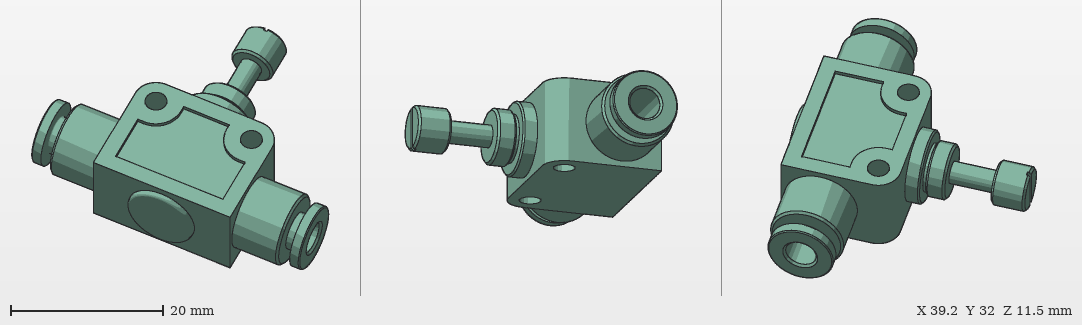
import cadquery as cq


block_length = 20.0
block_height = 11.5
block_front = -5.5
block_back = 10.0
corner_radius = 3.0

hole_diameter = 2.85
hole_x = block_length / 2 - corner_radius
hole_y = block_back - corner_radius

recess_half_length = 7.85
recess_front = -3.3
recess_back = 7.8
recess_depth = 0.5
hole_pad_radius = 3.65

overall_length = 39.2
port_diameter = 10.0
port_radius = port_diameter / 2
port_end = 16.7
port_chamfer = 0.3
neck_radius = 2.6
neck_fillet = 0.2
flange_radius = 4.45
flange_thickness = 1.4
flange_chamfer = 0.15
bore_radius = 2.08
bore_chamfer = 0.3

cap_radius = 4.8
cap_height = 0.75
cap_fillet = 0.5

base_radius = port_radius
base_top = 11.95
base_chamfer = 0.25
groove_radius = 3.3
nut_radius = 3.75
nut_bottom = 12.4
nut_top = 15.0
nut_chamfer = 0.3
stem_diameter = 3.0
stem_radius = stem_diameter / 2
knob_radius = 3.0
knob_bottom = 21.13
knob_top = 25.75
knob_chamfer = 0.3
slot_width = 0.5
slot_depth = 0.5


def disc_along_y(radius, start, end):
    """Cylinder on the adjuster axis between two Y stations."""
    return cq.Workplane("XZ", origin=(0, start, 0)).circle(radius).extrude(start - end)


def make_block():
    """Block with two rounded back corners."""
    return (
        cq.Workplane("XY")
        .box(block_length, block_back - block_front, block_height)
        .translate((0, (block_front + block_back) / 2, 0))
        .edges("|Z and >Y")
        .fillet(corner_radius)
    )


def make_label_recess():
    """Shallow rectangular recess that leaves a round pad around each mounting hole."""
    top = block_height / 2
    floor = top - recess_depth
    recess = (
        cq.Workplane("XY", origin=(0, 0, floor))
        .moveTo(0, (recess_front + recess_back) / 2)
        .rect(2 * recess_half_length, recess_back - recess_front)
        .extrude(recess_depth)
    )
    pad_reach_x = hole_x - hole_pad_radius
    pad_reach_y = hole_y - hole_pad_radius
    for side in (-1, 1):
        pad = (
            cq.Workplane("XY", origin=(0, 0, floor))
            .moveTo(side * pad_reach_x, hole_y)
            .radiusArc((side * hole_x, pad_reach_y), -side * hole_pad_radius)
            .lineTo(side * block_length / 2, pad_reach_y)
            .lineTo(side * block_length / 2, block_back)
            .lineTo(side * pad_reach_x, block_back)
            .close()
            .extrude(recess_depth)
        )
        recess = recess.cut(pad)
    return recess


def make_port():
    """Stepped tube port and collar on the +X side, with a blind bore ending at the block face."""
    end = overall_length / 2
    face = block_length / 2
    flange_inner = end - flange_thickness
    return (
        cq.Workplane("XY")
        .moveTo(face, bore_radius)
        .lineTo(face, port_radius)
        .lineTo(port_end - port_chamfer, port_radius)
        .lineTo(port_end, port_radius - port_chamfer)
        .lineTo(port_end, neck_radius)
        .lineTo(flange_inner - neck_fillet, neck_radius)
        .radiusArc((flange_inner, neck_radius + neck_fillet), -neck_fillet)
        .lineTo(flange_inner, flange_radius)
        .lineTo(end - flange_chamfer, flange_radius)
        .lineTo(end, flange_radius - flange_chamfer)
        .lineTo(end, bore_radius + bore_chamfer)
        .lineTo(end - bore_chamfer, bore_radius)
        .close()
        .revolve(360, (0, 0, 0), (1, 0, 0))
    )


def make_cap():
    """Low disc with a rounded rim on the front face."""
    return disc_along_y(cap_radius, block_front, block_front - cap_height).faces("<Y").fillet(cap_fillet)


def make_housing():
    """Block with label recess, mounting holes, two opposite ports and the front cap."""
    body = make_block().cut(make_label_recess())
    holes = (
        cq.Workplane("XY", origin=(0, 0, -block_height / 2))
        .pushPoints([(-hole_x, hole_y), (hole_x, hole_y)])
        .circle(hole_diameter / 2)
        .extrude(block_height)
    )
    body = body.cut(holes)
    port = make_port()
    return body.union(port).union(port.mirror("YZ")).union(make_cap())


def make_adjuster():
    """Base collar, groove, lock ring, stem and slotted knob, seated on the back face of the housing."""
    base = disc_along_y(base_radius, block_back, base_top).faces(">Y").chamfer(base_chamfer)
    groove = disc_along_y(groove_radius, base_top, nut_bottom)
    nut = disc_along_y(nut_radius, nut_bottom, nut_top).faces("<Y or >Y").chamfer(nut_chamfer)
    stem = disc_along_y(stem_radius, nut_top, knob_bottom)
    knob = disc_along_y(knob_radius, knob_bottom, knob_top).faces("<Y or >Y").chamfer(knob_chamfer)
    slot = (
        cq.Workplane("XY")
        .box(slot_width, slot_depth, 2 * knob_radius)
        .translate((0, knob_top - slot_depth / 2, 0))
    )
    return base.union(groove).union(nut).union(stem).union(knob.cut(slot))


housing = make_housing()
adjuster = make_adjuster()

result = cq.Compound.makeCompound([housing.val(), adjuster.val()])